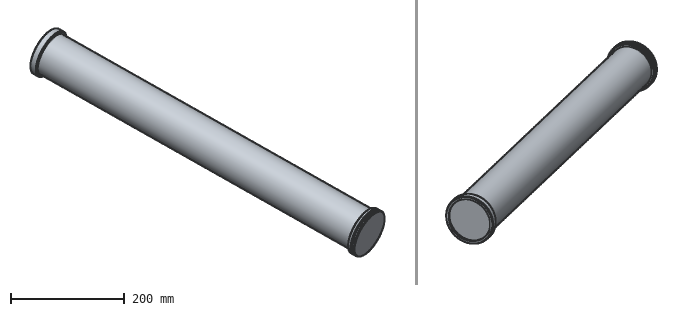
import cadquery as cq

length = 713.0
flange_diameter = 91.0
tube_diameter = 81.0

plain_flange_width = 14.0
edge_chamfer = 1.5
recess_diameter = 80.0
recess_depth = 4.0

grooved_flange_width = 15.0
groove_width = 3.0
groove_depth = 1.5
groove_from_end = 6.0


def disc(start, width, diameter):
    """Cylinder along X, beginning at the given X position."""
    return cq.Workplane("YZ", origin=(start, 0, 0)).circle(diameter / 2).extrude(width)


def plain_flange():
    """Flange chamfered on both edges, with a shallow recess in its end face."""
    flange = disc(-length / 2, plain_flange_width, flange_diameter)
    flange = flange.faces("<X or >X").edges().chamfer(edge_chamfer)
    return flange.cut(disc(-length / 2, recess_depth, recess_diameter))


def grooved_flange():
    """Flange chamfered on both edges, with a groove around its rim."""
    start = length / 2 - grooved_flange_width
    flange = disc(start, grooved_flange_width, flange_diameter)
    flange = flange.faces("<X or >X").edges().chamfer(edge_chamfer)
    groove_start = length / 2 - groove_from_end - groove_width
    groove = disc(groove_start, groove_width, flange_diameter).cut(
        disc(groove_start, groove_width, flange_diameter - 2 * groove_depth)
    )
    return flange.cut(groove)


tube_start = -length / 2 + plain_flange_width
tube_length = length - plain_flange_width - grooved_flange_width
tube = disc(tube_start, tube_length, tube_diameter)

result = tube.union(plain_flange()).union(grooved_flange())